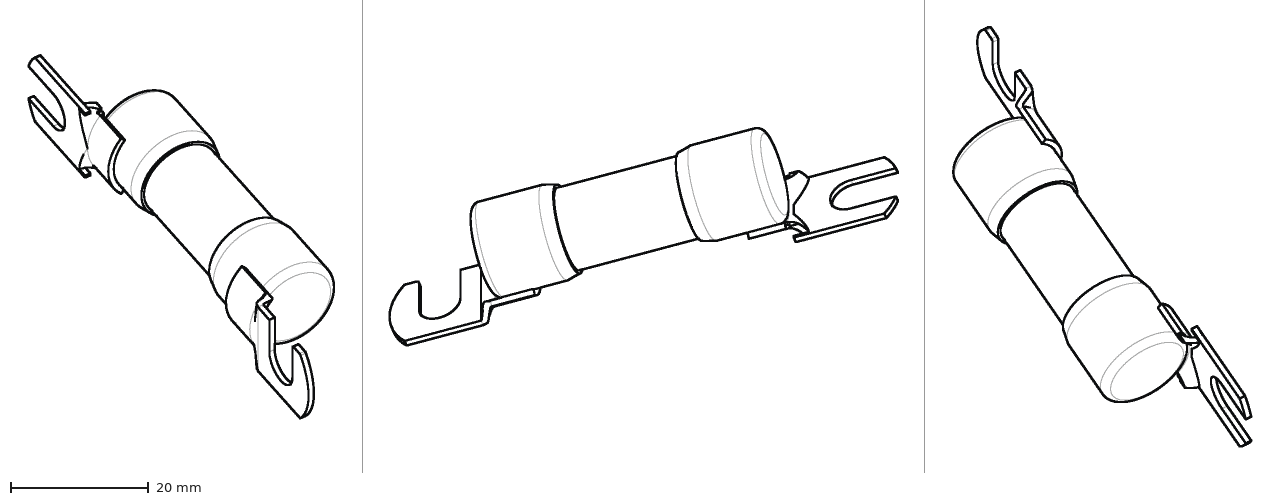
import cadquery as cq
import math


TOTAL_LENGTH = 77.9
LEFT_TIP_X = -TOTAL_LENGTH / 2
RIGHT_TIP_X = TOTAL_LENGTH / 2

BARREL_CENTER_X = -0.5
CAP_RADIUS = 7.2
TUBE_RADIUS = 6.2
CAP_WALL = CAP_RADIUS - TUBE_RADIUS
CAP_OUTER_END = 22.3
CAP_TAPER_START = 11.45
CAP_INNER_END = 9.4
CAP_RIM_RADIUS = 6.7
CAP_EDGE_FILLET = 1.1

SHEET = 0.9
SADDLE_RADIUS = CAP_RADIUS + SHEET
PLATE_FRONT_Y = -SADDLE_RADIUS
PLATE_BACK_Y = -CAP_RADIUS
PLATE_HALF_WIDTH = 6.4
SLOT_RADIUS = 3.2
TIP_ARC_RADIUS = 10.0

FORK_SLOT_CENTER_X = -32.0
FORK_SADDLE_END_X = -16.75
FORK_SADDLE_HALF_WIDTH = 5.5
FORK_PLATE_END_X = -23.2
FLARE_START_X = -22.5
FLARE_HALF_WIDTH = 6.0
FLARE_BEND_RADIUS = 2.3

HOOK_SLOT_CENTER_X = 31.2
HOOK_SADDLE_START_X = 16.0
HOOK_SADDLE_END_X = 22.6
HOOK_SADDLE_HALF_WIDTH = 6.1
HOOK_PLATE_START_X = 24.85
HOOK_SIDE_END_X = 36.6
HOOK_FINGER_FILLET = 0.4
HOOK_BEND_STEPS = [
    (HOOK_SADDLE_END_X, 1.0, 1.0),
    (23.2, 0.7, 1.0),
    (23.8, 0.2, 0.85),
    (24.3, 0.05, 0.4),
    (HOOK_PLATE_START_X, 0.0, 0.0),
]


def make_tube():
    half_length = CAP_OUTER_END - CAP_WALL
    return (
        cq.Workplane("YZ", origin=(BARREL_CENTER_X - half_length, 0, 0))
        .circle(TUBE_RADIUS)
        .extrude(2 * half_length)
    )


def make_cap(side):
    """Cup over one tube end; side is -1 for the left cap and +1 for the right cap."""
    profile = (
        cq.Workplane("XY")
        .moveTo(CAP_OUTER_END, 0)
        .lineTo(CAP_OUTER_END, CAP_RADIUS)
        .lineTo(CAP_TAPER_START, CAP_RADIUS)
        .lineTo(CAP_INNER_END, CAP_RIM_RADIUS)
        .lineTo(CAP_INNER_END, TUBE_RADIUS)
        .lineTo(CAP_OUTER_END - CAP_WALL, TUBE_RADIUS)
        .lineTo(CAP_OUTER_END - CAP_WALL, 0)
        .close()
    )
    cap = profile.revolve(360, (0, 0, 0), (1, 0, 0))
    cap = cap.faces(">X").edges().fillet(CAP_EDGE_FILLET)
    if side < 0:
        cap = cap.mirror("YZ")
    return cap.translate((BARREL_CENTER_X, 0, 0))


def block(x_start, x_end, y_start, y_end, half_width):
    """Box between the given X and Y limits, centred on Z = 0."""
    return cq.Workplane("XY").box(
        x_end - x_start, y_end - y_start, 2 * half_width, centered=False
    ).translate((x_start, y_start, -half_width))


def plate_sketch():
    """Workplane on the back face of the plates: local x is X, local y is Z, extruding to -Y."""
    return cq.Workplane("XZ", origin=(0, PLATE_BACK_Y, 0))


def make_saddle(x_start, x_end, half_width):
    """Curved sheet that hugs a cap, with radial side faces at the given half width."""
    half_angle = math.asin(half_width / SADDLE_RADIUS)
    inner_y = -CAP_RADIUS * math.cos(half_angle)
    inner_z = CAP_RADIUS * math.sin(half_angle)
    outer_y = -SADDLE_RADIUS * math.cos(half_angle)
    return (
        cq.Workplane("YZ", origin=(x_start, 0, 0))
        .moveTo(outer_y, -half_width)
        .threePointArc((-SADDLE_RADIUS, 0), (outer_y, half_width))
        .lineTo(inner_y, inner_z)
        .threePointArc((-CAP_RADIUS, 0), (inner_y, -inner_z))
        .close()
        .extrude(x_end - x_start)
    )



def make_fork_plate():
    """Plate with a slot open at the tip and rounded tip corners."""
    arc_center_x = LEFT_TIP_X + math.sqrt(TIP_ARC_RADIUS**2 - SLOT_RADIUS**2)
    side_start_x = arc_center_x - math.sqrt(TIP_ARC_RADIUS**2 - PLATE_HALF_WIDTH**2)
    middle_z = (SLOT_RADIUS + PLATE_HALF_WIDTH) / 2
    middle_x = arc_center_x - math.sqrt(TIP_ARC_RADIUS**2 - middle_z**2)
    return (
        plate_sketch()
        .moveTo(FORK_PLATE_END_X, PLATE_HALF_WIDTH)
        .lineTo(side_start_x, PLATE_HALF_WIDTH)
        .threePointArc((middle_x, middle_z), (LEFT_TIP_X, SLOT_RADIUS))
        .lineTo(FORK_SLOT_CENTER_X, SLOT_RADIUS)
        .threePointArc(
            (FORK_SLOT_CENTER_X + SLOT_RADIUS, 0), (FORK_SLOT_CENTER_X, -SLOT_RADIUS)
        )
        .lineTo(LEFT_TIP_X, -SLOT_RADIUS)
        .threePointArc((middle_x, -middle_z), (side_start_x, -PLATE_HALF_WIDTH))
        .lineTo(FORK_PLATE_END_X, -PLATE_HALF_WIDTH)
        .close()
        .extrude(SHEET)
    )


def bend_disc(bend_radius):
    """Ring around the fuse axis whose cross-section is the quarter disc of the flare bend."""
    bend_center_r = SADDLE_RADIUS + FLARE_BEND_RADIUS
    diagonal = bend_radius * math.sqrt(0.5)
    return (
        cq.Workplane("XY")
        .moveTo(FLARE_START_X, bend_center_r)
        .lineTo(FLARE_START_X, bend_center_r - bend_radius)
        .threePointArc(
            (FLARE_START_X - diagonal, bend_center_r - diagonal),
            (FLARE_START_X - bend_radius, bend_center_r),
        )
        .close()
        .revolve(360, (0, 0, 0), (1, 0, 0))
    )


def make_flare_limits():
    """Region kept of the ring-shaped bend: wide at the plate, as wide as the saddle beyond it."""
    half_angle = math.asin(FORK_SADDLE_HALF_WIDTH / SADDLE_RADIUS)
    back_y = -CAP_RADIUS * math.cos(half_angle)
    far_x = FLARE_START_X - FLARE_BEND_RADIUS - SHEET
    wide_part = block(far_x, FORK_PLATE_END_X, PLATE_FRONT_Y, back_y, FLARE_HALF_WIDTH)
    narrow_part = block(
        FORK_PLATE_END_X, FLARE_START_X, PLATE_FRONT_Y, back_y, FORK_SADDLE_HALF_WIDTH
    )
    return wide_part.union(narrow_part)


def make_fork_terminal():
    limits = make_flare_limits()
    relief = bend_disc(FLARE_BEND_RADIUS).intersect(limits)
    flare = bend_disc(FLARE_BEND_RADIUS + SHEET).intersect(limits).cut(relief)
    saddle = make_saddle(FLARE_START_X, FORK_SADDLE_END_X, FORK_SADDLE_HALF_WIDTH)
    return make_fork_plate().cut(relief).union(flare).union(saddle)



def make_hook_plate():
    """Plate with a slot open at the top and a rounded outer end."""
    slot_left_x = HOOK_SLOT_CENTER_X - SLOT_RADIUS
    slot_right_x = HOOK_SLOT_CENTER_X + SLOT_RADIUS
    plate = (
        plate_sketch()
        .moveTo(HOOK_PLATE_START_X, -PLATE_HALF_WIDTH)
        .lineTo(HOOK_SIDE_END_X, -PLATE_HALF_WIDTH)
        .threePointArc((RIGHT_TIP_X, 0), (HOOK_SIDE_END_X, PLATE_HALF_WIDTH))
        .lineTo(slot_right_x, PLATE_HALF_WIDTH)
        .lineTo(slot_right_x, 0)
        .threePointArc((HOOK_SLOT_CENTER_X, -SLOT_RADIUS), (slot_left_x, 0))
        .lineTo(slot_left_x, PLATE_HALF_WIDTH)
        .lineTo(HOOK_PLATE_START_X, PLATE_HALF_WIDTH)
        .close()
        .extrude(SHEET)
    )
    finger_tip = cq.selectors.BoxSelector(
        (slot_right_x - SHEET, PLATE_FRONT_Y - SHEET, PLATE_HALF_WIDTH - SHEET),
        (HOOK_SIDE_END_X + SHEET, PLATE_BACK_Y + SHEET, PLATE_HALF_WIDTH + SHEET),
    )
    return plate.edges("|Y").edges(finger_tip).fillet(HOOK_FINGER_FILLET)


def bend_section(x, front_bend, back_bend):
    """Closed outline across the hook's bend at X = x."""
    half_angle = math.asin(HOOK_SADDLE_HALF_WIDTH / SADDLE_RADIUS)
    drop_ratio = 1 - math.cos(half_angle)

    def face_edge(center_y, radius, bend):
        edge_y = center_y + bend * radius * drop_ratio
        edge_z = PLATE_HALF_WIDTH + bend * (radius * math.sin(half_angle) - PLATE_HALF_WIDTH)
        low = cq.Vector(x, edge_y, -edge_z)
        high = cq.Vector(x, edge_y, edge_z)
        if bend == 0:
            return cq.Edge.makeLine(low, high)
        return cq.Edge.makeThreePointArc(low, cq.Vector(x, center_y, 0), high)

    front = face_edge(PLATE_FRONT_Y, SADDLE_RADIUS, front_bend)
    back = face_edge(PLATE_BACK_Y, CAP_RADIUS, back_bend)
    upper = cq.Edge.makeLine(front.endPoint(), back.endPoint())
    lower = cq.Edge.makeLine(back.startPoint(), front.startPoint())
    return cq.Wire.assembleEdges([front, upper, back, lower])


def make_hook_terminal():
    saddle = make_saddle(HOOK_SADDLE_START_X, HOOK_SADDLE_END_X, HOOK_SADDLE_HALF_WIDTH)
    bend = cq.Solid.makeLoft([bend_section(*step) for step in HOOK_BEND_STEPS])
    return make_hook_plate().union(cq.Workplane(bend)).union(saddle)


tube = make_tube()
caps = [make_cap(side) for side in (-1, 1)]
fork_terminal = make_fork_terminal()
hook_terminal = make_hook_terminal()

bodies = [tube, *caps, fork_terminal, hook_terminal]

result = cq.Compound.makeCompound([body.solids().val() for body in bodies])